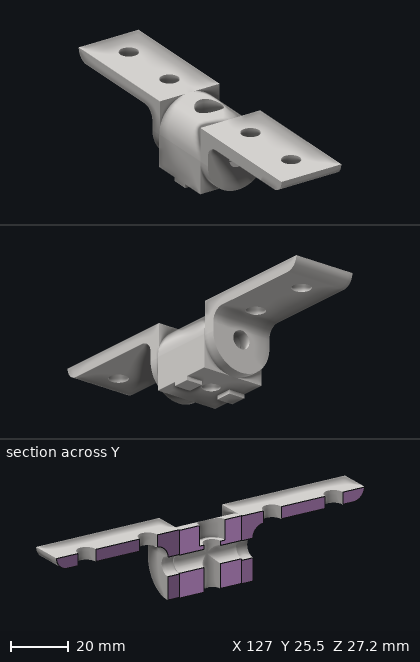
import cadquery as cq
import math

overall_length = 127.0

knuckle_length = 25.7
knuckle_radius = 12.7
knuckle_bore = 6.6
screw_hole = 6.6
screw_offset = -0.8
counterbore_diameter = 10.4
counterbore_depth = 7.6
foot_size = 6.6
foot_height = 1.5

leaf_length = (overall_length - knuckle_length) / 2
leaf_radius = 12.5
leaf_thickness = 4.7
leaf_top = 13.0
inner_fillet = 4.7
leaf_hole = 7.1
hole_spacing = leaf_length / 2
tip_to_hole = leaf_length / 4

left_leaf_drop = 0.4
right_leaf_shift = 0.3


def make_knuckle():
    """Central block with a through bore, a counterbored screw hole and two locating feet."""
    block = (
        cq.Workplane("YZ", origin=(-knuckle_length / 2, 0, 0))
        .moveTo(-knuckle_radius, -knuckle_radius)
        .lineTo(-knuckle_radius, 0)
        .threePointArc((0, knuckle_radius), (knuckle_radius, 0))
        .lineTo(knuckle_radius, -knuckle_radius)
        .close()
        .extrude(knuckle_length)
    )

    foot_centre = knuckle_radius - foot_size / 2
    feet = (
        cq.Workplane("XY", origin=(0, 0, -knuckle_radius))
        .pushPoints([(0, -foot_centre), (0, foot_centre)])
        .rect(foot_size, foot_size)
        .extrude(-foot_height)
    )
    block = block.union(feet)

    bore = cq.Workplane("YZ").circle(knuckle_bore / 2).extrude(knuckle_length, both=True)
    screw_plane = cq.Workplane("XY", origin=(screw_offset, 0, knuckle_radius))
    screw = screw_plane.circle(screw_hole / 2).extrude(-2 * knuckle_radius)
    counterbore = screw_plane.circle(counterbore_diameter / 2).extrude(-counterbore_depth)
    return block.cut(bore).cut(screw).cut(counterbore)


def make_leaf():
    """Leaf extending toward +X, with its flange face at X = 0 and its pivot on the X axis."""
    plate_bottom = leaf_top - leaf_thickness
    arc_middle = leaf_thickness * math.sqrt(0.5)
    plate = (
        cq.Workplane("XZ", origin=(0, leaf_radius, 0))
        .moveTo(0, leaf_top)
        .lineTo(leaf_length, leaf_top)
        .threePointArc(
            (leaf_length - leaf_thickness + arc_middle, leaf_top - arc_middle),
            (leaf_length - leaf_thickness, plate_bottom),
        )
        .lineTo(0, plate_bottom)
        .close()
        .extrude(2 * leaf_radius)
    )
    flange = (
        cq.Workplane("YZ")
        .moveTo(-leaf_radius, leaf_top)
        .lineTo(-leaf_radius, 0)
        .threePointArc((0, -leaf_radius), (leaf_radius, 0))
        .lineTo(leaf_radius, leaf_top)
        .close()
        .extrude(leaf_thickness)
    )
    leaf = plate.union(flange)

    leaf = leaf.edges(cq.NearestToPointSelector((leaf_thickness, 0, plate_bottom))).fillet(inner_fillet)

    outer_hole = leaf_length - tip_to_hole
    mounting_holes = (
        cq.Workplane("XY", origin=(0, 0, leaf_top))
        .pushPoints([(outer_hole, 0), (outer_hole - hole_spacing, 0)])
        .circle(leaf_hole / 2)
        .extrude(-leaf_thickness)
    )
    pivot_hole = cq.Workplane("YZ").circle(leaf_hole / 2).extrude(leaf_thickness)
    return leaf.cut(mounting_holes).cut(pivot_hole)


knuckle = make_knuckle()

leaves = []
for turn, side, shift_y, drop in ((180, -1, 0, left_leaf_drop), (0, 1, right_leaf_shift, 0)):
    leaf = make_leaf().rotate((0, 0, 0), (0, 0, 1), turn)
    leaves.append(leaf.translate((side * knuckle_length / 2, -shift_y, -drop)))

result = cq.Compound.makeCompound([knuckle.val(), *[leaf.val() for leaf in leaves]])